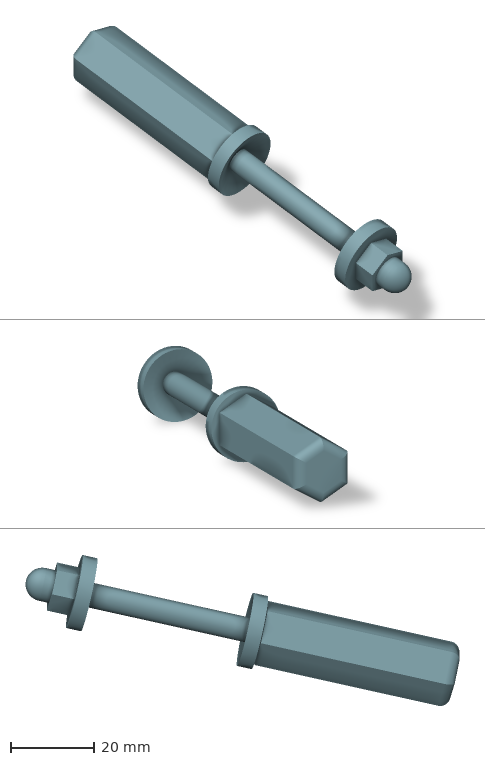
import cadquery as cq
import math

total_length = 105.8

grip_across_flats = 14.0
grip_end = 47.8
grip_end_fillet = 2.4
rod_diameter = 6.0

washer_diameter = 18.0
washer_thickness = 3.6
dish_depth = 2.1
first_washer_start = 48.1
second_washer_start = 90.2

nut_across_flats = 10.5
nut_start = second_washer_start + washer_thickness
nut_hex_length = 5.5
dome_radius = 4.0
nut_hex_end = nut_start + nut_hex_length
dome_start = total_length - dome_radius
rod_end = nut_hex_end


def plane_at(x):
    """Plane across the axis: local X along Y, local Y along Z, extruding toward +X."""
    return cq.Workplane("YZ", origin=(x, 0, 0))


def cylinder(start, end, diameter):
    return plane_at(start).circle(diameter / 2).extrude(end - start)


def hex_prism(start, end, across_flats):
    """Hexagonal prism along X with corners pointing up and down."""
    corner_radius = across_flats / math.sqrt(3)
    corners = [
        (corner_radius * math.sin(i * math.pi / 3), corner_radius * math.cos(i * math.pi / 3))
        for i in range(6)
    ]
    return plane_at(start).polyline(corners).close().extrude(end - start)


def make_handle():
    grip = hex_prism(0, grip_end, grip_across_flats).faces("<X").edges().fillet(grip_end_fillet)
    return grip.union(cylinder(grip_end, rod_end, rod_diameter))


def make_washer(flat_face, direction):
    """Washer growing from its flat face toward direction (+1 or -1 in X), dished on the far face."""
    rim = flat_face + direction * washer_thickness
    dish_floor = rim - direction * dish_depth
    bore_radius = rod_diameter / 2
    outer_radius = washer_diameter / 2
    return (
        cq.Workplane("XZ")
        .polyline([
            (flat_face, bore_radius),
            (flat_face, outer_radius),
            (rim, outer_radius),
            (dish_floor, bore_radius),
        ])
        .close()
        .revolve(360, (0, 0, 0), (1, 0, 0))
    )


def make_cap_nut():
    hexagon = hex_prism(nut_start, nut_hex_end, nut_across_flats)
    dome = (
        cq.Workplane("XZ")
        .moveTo(nut_hex_end, 0)
        .lineTo(nut_hex_end, dome_radius)
        .lineTo(dome_start, dome_radius)
        .radiusArc((total_length, 0), dome_radius)
        .close()
        .revolve(360, (0, 0, 0), (1, 0, 0))
    )
    rod_hole = cylinder(nut_start, rod_end, rod_diameter)
    return hexagon.union(dome).cut(rod_hole)


handle = make_handle()
washer_placements = [
    (first_washer_start, 1),
    (second_washer_start + washer_thickness, -1),
]
washers = [make_washer(flat_face, direction) for flat_face, direction in washer_placements]
cap_nut = make_cap_nut()

result = cq.Compound.makeCompound([
    handle.val(),
    *[washer.val() for washer in washers],
    cap_nut.val(),
])